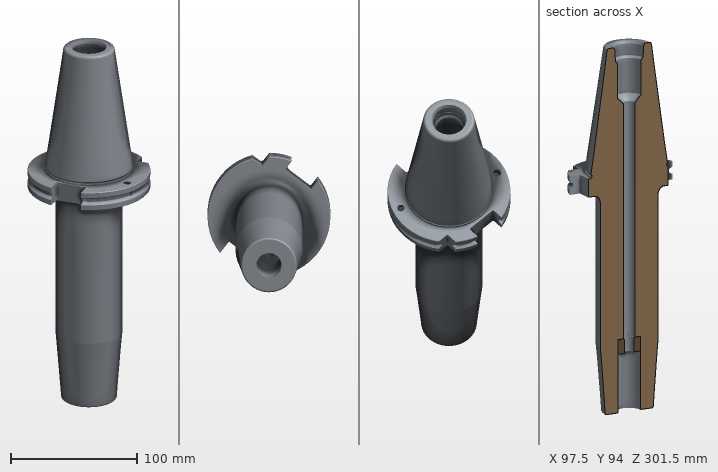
import cadquery as cq
import math

TOTAL_LENGTH = 301.5
TAPER_LENGTH = 101.5
GAUGE_Z = TOTAL_LENGTH - TAPER_LENGTH
FLANGE_TOP_Z = GAUGE_Z - 3.3
FLANGE_THICKNESS = 15.5
FLANGE_BOTTOM_Z = FLANGE_TOP_Z - FLANGE_THICKNESS
NOSE_TAPER_LENGTH = 57.0

GAUGE_RADIUS = 35.0
TAPER_SLOPE = 7 / 48
TAPER_END_RADIUS = GAUGE_RADIUS - TAPER_LENGTH * TAPER_SLOPE
FLANGE_DIAMETER = 97.5
FLANGE_RADIUS = FLANGE_DIAMETER / 2
SHANK_RADIUS = 26.5
NOSE_RADIUS = 22.0

TAPER_END_FILLET = 2.5
NOSE_FILLET = 1.5
SHANK_FILLET = 5.5
FLANGE_CHAMFER = 0.45

RELIEF_RADIUS = GAUGE_RADIUS - 1.0
RELIEF_TOP_Z = GAUGE_Z - 1.2
RELIEF_BOTTOM_Z = GAUGE_Z - 1.8
COLLAR_RADIUS = GAUGE_RADIUS

GROOVE_Z = FLANGE_TOP_Z - FLANGE_THICKNESS / 2
GROOVE_RADIUS = 45.5
GROOVE_FLANK_ANGLE = 30
GROOVE_FLOOR_HALF = 1.35
GROOVE_MOUTH_HALF = GROOVE_FLOOR_HALF + (FLANGE_RADIUS - GROOVE_RADIUS) * math.tan(
    math.radians(GROOVE_FLANK_ANGLE)
)

SLOT_WIDTH = 26.0
FRONT_SLOT_FLOOR = 35.3
BACK_SLOT_FLOOR = 37.5
NOTCH_OFFSET = 29.3
CUT_CORNER_RADIUS = 1.0
CUT_REACH = FLANGE_RADIUS + 3

BORE_MOUTH_RADIUS = 14.0
PILOT_RADIUS = 12.7
MOUTH_CHAMFER_DEPTH = 2.5
PILOT_DEPTH = 8.7
THREAD_RADIUS = 12.5
THREAD_DEPTH = 11.8
CORE_RADIUS = 10.5
CORE_START_DEPTH = THREAD_DEPTH + THREAD_RADIUS - CORE_RADIUS
CORE_DEPTH = 42.2
DUCT_RADIUS = 5.0

TOOL_BORE_RADIUS = 10.0
TOOL_BORE_DEPTH = 60.3
STOP_SCREW_LENGTH = 12.0
STOP_SCREW_HOLE_RADIUS = 4.2

SCREW_ANGLES = (-20, 160)
FACE_SCREW_PLACE = 41.5
FACE_SCREW_TILT = 20
FACE_SCREW_RADIUS = 3.0
FACE_SCREW_LENGTH = 2.7
FACE_SCREW_RECESS = 4.0
GROOVE_SCREW_RADIUS = 2.0
GROOVE_SCREW_LENGTH = 1.8
GROOVE_SCREW_RECESS = 0.5
HOLE_CLEARANCE = 3.0
SOCKET_DIAMETER_PER_RADIUS = 1.1
SOCKET_DEPTH = 1.0


def holder_blank():
    """Turned outer shape of the holder, without any bore."""
    profile = (
        cq.Workplane("XZ")
        .moveTo(0, 0)
        .lineTo(NOSE_RADIUS, 0)
        .lineTo(SHANK_RADIUS, NOSE_TAPER_LENGTH)
        .lineTo(SHANK_RADIUS, FLANGE_BOTTOM_Z - SHANK_FILLET)
        .radiusArc((SHANK_RADIUS + SHANK_FILLET, FLANGE_BOTTOM_Z), SHANK_FILLET)
        .lineTo(FLANGE_RADIUS - FLANGE_CHAMFER, FLANGE_BOTTOM_Z)
        .lineTo(FLANGE_RADIUS, FLANGE_BOTTOM_Z + FLANGE_CHAMFER)
        .lineTo(FLANGE_RADIUS, GROOVE_Z - GROOVE_MOUTH_HALF)
        .lineTo(GROOVE_RADIUS, GROOVE_Z - GROOVE_FLOOR_HALF)
        .lineTo(GROOVE_RADIUS, GROOVE_Z + GROOVE_FLOOR_HALF)
        .lineTo(FLANGE_RADIUS, GROOVE_Z + GROOVE_MOUTH_HALF)
        .lineTo(FLANGE_RADIUS, FLANGE_TOP_Z - FLANGE_CHAMFER)
        .lineTo(FLANGE_RADIUS - FLANGE_CHAMFER, FLANGE_TOP_Z)
        .lineTo(COLLAR_RADIUS, FLANGE_TOP_Z)
        .lineTo(COLLAR_RADIUS, RELIEF_BOTTOM_Z)
        .lineTo(RELIEF_RADIUS, RELIEF_BOTTOM_Z)
        .lineTo(RELIEF_RADIUS, RELIEF_TOP_Z)
        .lineTo(GAUGE_RADIUS, GAUGE_Z)
        .lineTo(TAPER_END_RADIUS, TOTAL_LENGTH)
        .lineTo(0, TOTAL_LENGTH)
        .close()
    )
    blank = profile.revolve(360, (0, 0, 0), (0, 1, 0))
    blank = blank.faces(">Z").edges().fillet(TAPER_END_FILLET)
    return blank.faces("<Z").edges().fillet(NOSE_FILLET)


def bore():
    """Stepped hole right through the holder: pull-stud thread, coolant duct and tool bore."""
    steps = [
        (BORE_MOUTH_RADIUS, 0),
        (PILOT_RADIUS, MOUTH_CHAMFER_DEPTH),
        (PILOT_RADIUS, PILOT_DEPTH),
        (THREAD_RADIUS, PILOT_DEPTH),
        (THREAD_RADIUS, THREAD_DEPTH),
        (CORE_RADIUS, CORE_START_DEPTH),
        (CORE_RADIUS, CORE_DEPTH),
        (DUCT_RADIUS, CORE_DEPTH + CORE_RADIUS - DUCT_RADIUS),
        (DUCT_RADIUS, TOTAL_LENGTH - TOOL_BORE_DEPTH),
        (TOOL_BORE_RADIUS, TOTAL_LENGTH - TOOL_BORE_DEPTH),
        (TOOL_BORE_RADIUS, TOTAL_LENGTH),
        (0, TOTAL_LENGTH),
        (0, 0),
    ]
    points = [(radius, TOTAL_LENGTH - depth) for radius, depth in steps]
    return cq.Workplane("XZ").polyline(points).close().revolve(360, (0, 0, 0), (0, 1, 0))


def flange_cutter(x_min, x_max, y_min, y_max):
    """Upright block with rounded upright edges that cuts through the whole flange thickness."""
    return (
        cq.Workplane("XY")
        .workplane(offset=FLANGE_BOTTOM_Z)
        .center((x_min + x_max) / 2, (y_min + y_max) / 2)
        .rect(x_max - x_min, y_max - y_min)
        .extrude(FLANGE_THICKNESS)
        .edges("|Z")
        .fillet(CUT_CORNER_RADIUS)
    )


def face_plane(angle):
    """Plane at the mouth of one face screw hole; the hole leans toward the axis as it goes down."""
    turn = math.radians(angle)
    tilt = math.radians(FACE_SCREW_TILT)
    origin = (FACE_SCREW_PLACE * math.cos(turn), FACE_SCREW_PLACE * math.sin(turn), FLANGE_TOP_Z)
    normal = (math.sin(tilt) * math.cos(turn), math.sin(tilt) * math.sin(turn), math.cos(tilt))
    return cq.Plane(origin=origin, normal=normal)


def groove_plane(angle):
    """Plane on the groove floor with its normal pointing outward, at one groove screw."""
    turn = math.radians(angle)
    outward = (math.cos(turn), math.sin(turn), 0)
    origin = (GROOVE_RADIUS * outward[0], GROOVE_RADIUS * outward[1], GROOVE_Z)
    return cq.Plane(origin=origin, xDir=(0, 0, 1), normal=outward)


def screw_hole(plane, radius, depth):
    """Hole for a sealing screw, run past its mouth so that it opens fully."""
    return cq.Workplane(plane).workplane(offset=-depth).circle(radius).extrude(depth + HOLE_CLEARANCE)


def socket_screw(plane, radius, length, recess):
    """Headless screw with a hexagon socket, sunk below the given plane."""
    top = cq.Workplane(plane).workplane(offset=-recess)
    socket = top.polygon(6, radius * SOCKET_DIAMETER_PER_RADIUS).extrude(-SOCKET_DEPTH)
    return top.circle(radius).extrude(-length).cut(socket)


def face_screw(angle):
    """Slanted sealing screw in the flange face."""
    return socket_screw(face_plane(angle), FACE_SCREW_RADIUS, FACE_SCREW_LENGTH, FACE_SCREW_RECESS)


def groove_screw(angle):
    """Radial sealing screw in the groove floor."""
    return socket_screw(
        groove_plane(angle), GROOVE_SCREW_RADIUS, GROOVE_SCREW_LENGTH, GROOVE_SCREW_RECESS
    )


def stop_screw():
    """Drilled stop screw filling the inner end of the tool bore."""
    return (
        cq.Workplane("XY")
        .workplane(offset=TOOL_BORE_DEPTH - STOP_SCREW_LENGTH)
        .circle(TOOL_BORE_RADIUS)
        .circle(STOP_SCREW_HOLE_RADIUS)
        .extrude(STOP_SCREW_LENGTH)
    )


def build_holder():
    """Holder with its bore, drive slots, corner notch and screw holes."""
    body = holder_blank().cut(bore())
    half_slot = SLOT_WIDTH / 2
    body = body.cut(flange_cutter(-half_slot, half_slot, BACK_SLOT_FLOOR, CUT_REACH))
    body = body.cut(flange_cutter(-half_slot, half_slot, -CUT_REACH, -FRONT_SLOT_FLOOR))
    body = body.cut(flange_cutter(NOTCH_OFFSET, CUT_REACH, NOTCH_OFFSET, CUT_REACH))
    face_depth = FACE_SCREW_RECESS + FACE_SCREW_LENGTH
    groove_depth = GROOVE_SCREW_RECESS + GROOVE_SCREW_LENGTH
    for angle in SCREW_ANGLES:
        body = body.cut(screw_hole(face_plane(angle), FACE_SCREW_RADIUS, face_depth))
        body = body.cut(screw_hole(groove_plane(angle), GROOVE_SCREW_RADIUS, groove_depth))
    return body


holder = build_holder()
face_screws = [face_screw(angle).val() for angle in SCREW_ANGLES]
groove_screws = [groove_screw(angle).val() for angle in SCREW_ANGLES]
stop = stop_screw()

result = cq.Compound.makeCompound([holder.val(), *face_screws, *groove_screws, stop.val()])